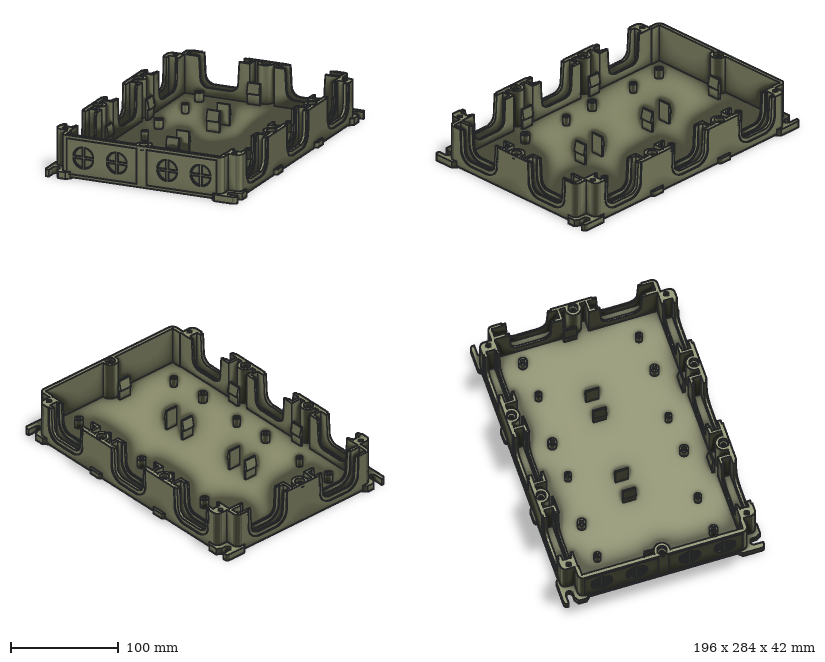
import cadquery as cq
length = 284.0
width = 196.0
height = 42.0

body_half_x = 95.0
body_half_y = 138.5
shoulder_x = 82.6
shoulder_y = 124.7
corner_radius = 5.0
body_bottom = 1.5
floor_top = 4.3

side_wall = 4.3
back_wall = 2.8
front_wall = 4.0
inner_wall = 3.0
channel_width = 8.2
channel_end_wall = 2.8

pitch = 88.3
channel_end_y = 114.5
bay_half = 12.5
opening_half_top = 20.7
opening_half_low = 19.0
opening_bottom = 12.2
opening_radius = 9.0
recess_half_top = 24.0
recess_half_low = 23.3
recess_bottom = 8.0
recess_radius = 14.0
recess_depth = 1.0

boss_radius = 7.7
boss_counterbore_radius = 4.5
boss_counterbore_depth = 4.3
boss_hole_radius = 2.0
boss_x = 89.2
boss_y = 133.2
corner_hole_x = 87.0
corner_hole_y = 120.5
corner_hole_radius = 2.3
corner_hole_depth = 22.7

foot_height = 6.5
foot_inner_x = 72.7
foot_inner_y = 113.3
foot_slot_width = 6.8
left_slot_offset = 7.7
left_slot_depth = 12.5
right_slot_offset = 8.8
right_slot_depth = 11.6
foot_flare_width = 2.8
foot_flare_length = 4.5
foot_chamfer = 3.7
foot_tip_radius = 3.0
side_foot_half = 8.0
side_foot_radius = 3.5

panel_inner_x = 5.0
panel_outer_x = 77.0
panel_bottom = 4.3
panel_top = 39.0
panel_depth = 0.9
knockout_x = (25.8, 60.2)
knockout_z = 21.5
knockout_radius = 10.5
knockout_depth = 1.5
knockout_taper = 25.0
knockout_bar = 2.3

large_post_radius = 4.0
large_post_hole = 2.0
small_post_radius = 3.0
small_post_hole = 1.5
post_height = 8.8
post_hole_depth = 7.0
large_posts = ((-57.0, 20.5), (57.0, -24.0))
small_posts = ((54.0, 13.0), (-54.0, -16.8))
clip_length = 12.5
clip_thickness = 2.3
clip_tip = 1.5
clip_height = 20.5
clip_hook_height = 10.2
clip_hook_reach = 1.5
end_clip_x = -6.8
end_clip_y = 34.0
side_clip_x = 77.8
side_clip_y = (42.3, -46.0)

channel_outer_x = body_half_x - side_wall
channel_inner_x = channel_outer_x - channel_width
cavity_half_x = channel_inner_x - inner_wall
channel_outer_y = body_half_y - back_wall
channel_inner_y = channel_outer_y - channel_width
cavity_back_y = channel_inner_y - inner_wall
cavity_front_y = front_wall - body_half_y
channel_back_x = shoulder_x - front_wall
board_centers = (-pitch, 0.0, pitch)
bay_centers = (-pitch / 2, pitch / 2)
through = 2 * height


def block(x0, x1, y0, y1, z0, z1):
    """Axis-aligned box between two opposite corners."""
    return cq.Workplane("XY").box(x1 - x0, y1 - y0, z1 - z0, centered=False).translate((x0, y0, z0))


def cylinder(x, y, radius, z0, z1):
    """Upright cylinder between two heights."""
    return cq.Workplane("XY", origin=(x, y, z0)).circle(radius).extrude(z1 - z0)


def mirrored_in_x(shape):
    return shape.union(shape.mirror("YZ"))


def body_block():
    """Solid plus-shaped block with rounded outer corners."""
    tall = height - body_bottom
    bars = [
        cq.Workplane("XY", origin=(0, 0, body_bottom)).rect(2 * x, 2 * y).extrude(tall)
        .edges("|Z").fillet(corner_radius)
        for x, y in ((body_half_x, shoulder_y), (shoulder_x, body_half_y))
    ]
    return bars[0].union(bars[1])


def cavity():
    """Main cavity, plus the bays between the channels that reach the outer skins."""
    room = block(-cavity_half_x, cavity_half_x, -shoulder_y, cavity_back_y, floor_top, height)
    front = block(-channel_back_x, channel_back_x, cavity_front_y, 0, floor_top, height)
    back_bay = block(-bay_half, bay_half, 0, channel_outer_y, floor_top, height)
    room = room.union(front).union(back_bay)
    for y in bay_centers:
        room = room.union(
            block(-channel_outer_x, channel_outer_x, y - bay_half, y + bay_half, floor_top, height))
    return room


def channels():
    """Cable channels inside the double side walls and the double back wall."""
    near_bay = bay_half + channel_end_wall
    spans = (
        (-channel_end_y, bay_centers[0] - near_bay),
        (bay_centers[0] + near_bay, bay_centers[1] - near_bay),
        (bay_centers[1] + near_bay, channel_end_y),
    )
    cut = block(near_bay, channel_back_x, channel_inner_y, channel_outer_y, floor_top, height)
    for y0, y1 in spans:
        cut = cut.union(block(channel_inner_x, channel_outer_x, y0, y1, floor_top, height))
    return mirrored_in_x(cut)


def opening_prism(half_top, half_low, bottom, radius, depth):
    """U-shaped prism, slightly flared and open at the top, running from Y = 0 to the given depth."""
    return (
        cq.Workplane("XZ")
        .polyline([(-half_top, height), (-half_low, bottom), (half_low, bottom), (half_top, height)])
        .close().extrude(-depth)
        .faces("<Z").edges("|Y").fillet(radius)
    )


def cut_openings(body):
    """Cable openings in the side and back walls, each skin stepped on its outward face."""
    opening = opening_prism(
        opening_half_top, opening_half_low, opening_bottom, opening_radius, body_half_y)
    recess = opening_prism(
        recess_half_top, recess_half_low, recess_bottom, recess_radius, recess_depth)

    for x in bay_centers:
        body = body.cut(opening.translate((x, 0, 0)))
        for face_y in (body_half_y, channel_inner_y):
            body = body.cut(recess.translate((x, face_y - recess_depth, 0)))

    for side in (-1, 1):
        turn = -90 * side
        side_opening = opening.rotate((0, 0, 0), (0, 0, 1), turn)
        side_recess = recess.rotate((0, 0, 0), (0, 0, 1), turn)
        for y in board_centers:
            body = body.cut(side_opening.translate((0, y, 0)))
            for face_x in (body_half_x, channel_inner_x):
                body = body.cut(side_recess.translate((side * (face_x - recess_depth), y, 0)))
    return body


def foot_slot(offset, depth):
    """Slot running in from Y = 0 at X = -offset, flared at the mouth on its inner side."""
    half = foot_slot_width / 2
    inner = -offset - half
    return (
        cq.Workplane("XY").moveTo(half - offset, 0)
        .lineTo(half - offset, half - depth)
        .threePointArc((-offset, -depth), (inner, half - depth))
        .lineTo(inner, -foot_flare_length)
        .lineTo(inner - foot_flare_width, 0)
        .close().extrude(foot_height)
    )


def corner_foot(slot):
    """Foot at the +X +Y corner with a mounting slot given from its outer corner."""
    foot = block(foot_inner_x, width / 2, foot_inner_y, length / 2, 0, foot_height)
    foot = foot.edges("|Z").edges("<(1,-1,0) or >(1,-1,0)").chamfer(foot_chamfer)
    foot = foot.edges("|Z").edges(">(1,1,0)").fillet(foot_tip_radius)
    return foot.cut(slot.translate((width / 2, length / 2, 0)))


def feet():
    """Four slotted corner feet and a small rest under each side boss."""
    left_slot = foot_slot(left_slot_offset, left_slot_depth)
    right_slot = foot_slot(right_slot_offset, right_slot_depth)
    right_slot = right_slot.rotate((0, 0, 0), (0, 0, 1), 90).mirror("YZ")
    corners = corner_foot(right_slot).union(corner_foot(left_slot).mirror("YZ"))
    all_feet = corners.union(corners.mirror("XZ"))
    for y in bay_centers:
        rest = block(-width / 2, width / 2, y - side_foot_half, y + side_foot_half,
                     body_bottom, foot_height)
        all_feet = all_feet.union(rest.edges("|Z").fillet(side_foot_radius))
    return all_feet


boss_places = [(side * boss_x, y) for side in (-1, 1) for y in bay_centers]
boss_places += [(0, -boss_y), (0, boss_y)]


def add_bosses(body):
    """Screw bosses in the bays and at the middle of the end walls."""
    outline = block(-body_half_x, body_half_x, -body_half_y, body_half_y, body_bottom, height)
    counterbore_floor = height - boss_counterbore_depth
    for x, y in boss_places:
        boss = cylinder(x, y, boss_radius, body_bottom, height)
        body = body.union(boss.intersect(outline))
        body = body.cut(cylinder(x, y, boss_counterbore_radius, counterbore_floor, height))
        body = body.cut(cylinder(x, y, boss_hole_radius, floor_top, height))
    return body


def cut_corner_holes(body):
    """Blind holes in the solid posts at the four corners."""
    for x in (-corner_hole_x, corner_hole_x):
        for y in (-corner_hole_y, corner_hole_y):
            hole = cylinder(x, y, corner_hole_radius, height - corner_hole_depth, height)
            body = body.cut(hole)
    return body


def knockout(x):
    """Tapered round recess split into quarters by an upright cross."""
    face_y = panel_depth - body_half_y
    disc = (
        cq.Workplane("XZ", origin=(x, face_y, knockout_z))
        .circle(knockout_radius).extrude(-knockout_depth, taper=knockout_taper)
    )
    for bar_x, bar_z in ((knockout_bar, through), (through, knockout_bar)):
        bar = cq.Workplane("XY", origin=(x, face_y, knockout_z)).box(bar_x, through, bar_z)
        disc = disc.cut(bar)
    return disc


def cut_front_panels(body):
    """Two shallow panels on the front wall, each with two knockouts."""
    cuts = block(panel_inner_x, panel_outer_x, -body_half_y, panel_depth - body_half_y,
                 panel_bottom, panel_top)
    for x in knockout_x:
        cuts = cuts.union(knockout(x))
    return body.cut(mirrored_in_x(cuts))


def add_posts(body):
    """Hollow posts that carry the circuit boards."""
    top = floor_top + post_height
    kinds = (
        (large_posts, large_post_radius, large_post_hole),
        (small_posts, small_post_radius, small_post_hole),
    )
    for places, radius, hole in kinds:
        for x, offset_y in places:
            for board_y in board_centers:
                y = board_y + offset_y
                body = body.union(cylinder(x, y, radius, body_bottom, top))
                body = body.cut(cylinder(x, y, hole, top - post_hole_depth, top))
    return body


def clip():
    """Snap clip centred on X, back face at Y = 0, with its hook towards -Y."""
    top = floor_top + clip_height
    hook = floor_top + clip_hook_height
    return (
        cq.Workplane("YZ")
        .polyline([
            (0, body_bottom), (0, top), (-clip_tip, top), (-clip_thickness - clip_hook_reach, hook),
            (-clip_thickness, hook), (-clip_thickness, body_bottom),
        ])
        .close().extrude(clip_length / 2, both=True)
    )


def add_clips(body):
    """Pairs of end clips for each board, and side clips facing inwards between boards."""
    end_clip = clip().translate((end_clip_x, end_clip_y, 0))
    facing_clip = clip().mirror("XZ").translate((end_clip_x, -end_clip_y, 0))
    for y in board_centers:
        body = body.union(end_clip.translate((0, y, 0)))
        body = body.union(facing_clip.translate((0, y, 0)))
    side_clip = clip().rotate((0, 0, 0), (0, 0, 1), -90).translate((side_clip_x, 0, 0))
    for y in side_clip_y:
        body = body.union(mirrored_in_x(side_clip.translate((0, y, 0))))
    return body


result = body_block().union(feet()).cut(cavity()).cut(channels())
result = cut_openings(result)
result = add_bosses(result)
result = cut_corner_holes(result)
result = cut_front_panels(result)
result = add_posts(result)
result = add_clips(result)